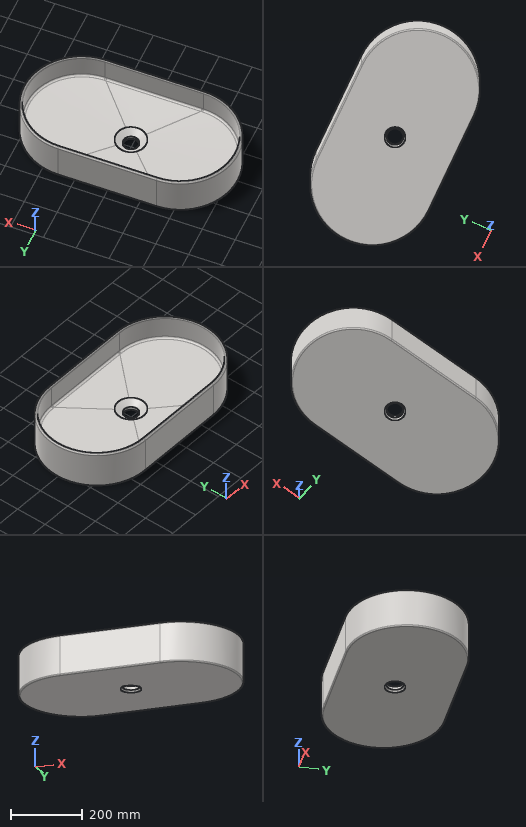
import cadquery as cq
import math

length = 650.0
width = 350.0
height = 120.0
straight = length - width
wall = 8.5
outer_edge_radius = 4.0
inner_edge_radius = 2.0

floor_edge_height = 45.5
floor_fillet = 6.5

drain_top_diameter = 92.0
drain_top_height = 31.0
drain_hole_diameter = 47.0
drain_hole_height = 17.0
drain_outlet_chamfer = 6.0


def stadium_block(inset, bottom, top):
    """Upright stadium prism, inset evenly from the outer wall."""
    return (
        cq.Workplane("XY")
        .workplane(offset=bottom)
        .slot2D(length - 2 * inset, width - 2 * inset)
        .extrude(top - bottom)
    )


def stadium_wire(inset, z):
    """Closed stadium outline starting at its right rear tangent point."""
    half = straight / 2
    radius = width / 2 - inset
    return (
        cq.Workplane("XY", origin=(0, 0, z))
        .moveTo(half, radius)
        .lineTo(-half, radius)
        .threePointArc((-half - radius, 0), (-half, -radius))
        .lineTo(half, -radius)
        .threePointArc((half + radius, 0), (half, radius))
        .wire()
        .val()
    )


def drain_rim_wire(inset, z):
    """Circle split into four arcs facing the four sides of the stadium."""
    radius = drain_top_diameter / 2
    split = math.atan2(width / 2 - inset, straight / 2)
    x = radius * math.cos(split)
    y = radius * math.sin(split)
    return (
        cq.Workplane("XY", origin=(0, 0, z))
        .moveTo(x, y)
        .threePointArc((0, radius), (-x, y))
        .threePointArc((-radius, 0), (-x, -y))
        .threePointArc((0, -radius), (x, -y))
        .threePointArc((radius, 0), (x, y))
        .wire()
        .val()
    )


def basin():
    """Hollow of the bowl, with its sloping floor rounded into the wall."""
    upper = stadium_block(wall, floor_edge_height, height)
    slope = cq.Solid.makeLoft(
        [drain_rim_wire(wall, drain_top_height), stadium_wire(wall, floor_edge_height)],
        True,
    )
    hollow = upper.union(cq.Workplane(slope))
    margin = 0.5
    floor_rim = cq.selectors.BoxSelector(
        (-length, -width, floor_edge_height - margin),
        (length, width, floor_edge_height + margin),
    )
    return hollow.edges(floor_rim).fillet(floor_fillet)


def drain():
    """Funnel below the floor and the hole through the bottom, chamfered at its outlet."""
    funnel = cq.Solid.makeCone(
        drain_hole_diameter / 2,
        drain_top_diameter / 2,
        drain_top_height - drain_hole_height,
        pnt=cq.Vector(0, 0, drain_hole_height),
    )
    hole = cq.Workplane("XY").circle(drain_hole_diameter / 2).extrude(drain_hole_height)
    outlet = cq.Solid.makeCone(
        drain_hole_diameter / 2 + drain_outlet_chamfer,
        drain_hole_diameter / 2,
        drain_outlet_chamfer,
    )
    return hole.union(cq.Workplane(funnel)).union(cq.Workplane(outlet))


body = stadium_block(0, 0, height).faces("<Z or >Z").edges().fillet(outer_edge_radius)
bowl = body.cut(basin()).cut(drain())

result = bowl.faces(">Z").wires(cq.selectors.LengthNthSelector(0)).fillet(inner_edge_radius)